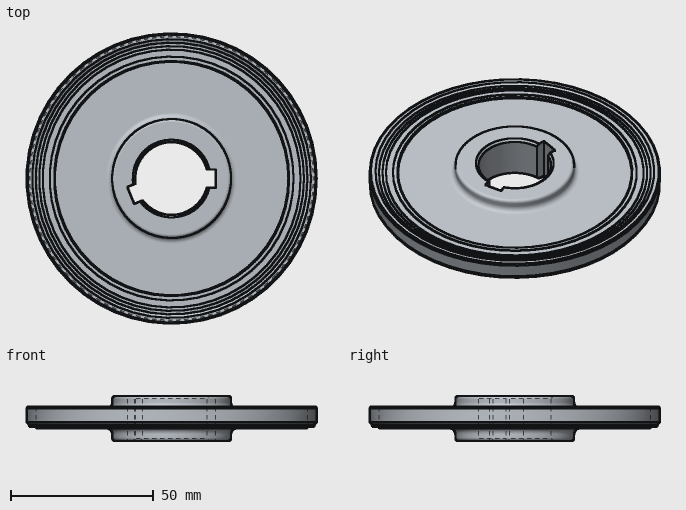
import cadquery as cq

HUB_RADIUS = 20.8
HUB_HALF_HEIGHT = 7.9
HUB_EDGE_FILLET = 1.1
HUB_ROOT_FILLET = 2.0

BORE_RADIUS = 12.7
BORE_CHAMFER = 0.9
KEYWAY_WIDTH = 6.3
KEYWAY_REACH = 15.4
KEYWAY_ANGLES = (0, 202.5)

WEB_HALF_THICKNESS = 3.5
WEB_RADIUS = 40.9
BAND_HEIGHT = 3.6
GROOVE_DEPTH = 0.1
LIP_HEIGHT = 3.8
LIP_INNER_RADIUS = 41.2
LIP_OUTER_RADIUS = 42.7
GROOVE_INNER_RADIUS = 45.1
GROOVE_OUTER_RADIUS = 46.3
DISC_RADIUS = 47.6
DISC_LOWER_CHAMFER = 0.3

RIM_RADIUS = 50.8
RIM_TOP = 4.2
RIM_BOTTOM = -2.9
RIM_TOP_INNER_RADIUS = 48.8
RIM_TOP_CHAMFER_WIDTH = 0.4
RIM_TOP_CHAMFER_HEIGHT = 0.6
RIM_WALL_BOTTOM = -1.2
RIM_SHOULDER_TOP = -2.1
RIM_SHOULDER_RADIUS = 50.0
RIM_SHOULDER_CHAMFER = 0.4


def make_hub_disc():
    """Hub, web and stepped band turned as one solid, then cut by the keyways."""
    hub_top_radius = HUB_RADIUS - HUB_EDGE_FILLET
    hub_side_top = HUB_HALF_HEIGHT - HUB_EDGE_FILLET
    root_radius = HUB_RADIUS + HUB_ROOT_FILLET
    root_height = WEB_HALF_THICKNESS + HUB_ROOT_FILLET
    chamfer_height = HUB_HALF_HEIGHT - BORE_CHAMFER
    mouth_radius = BORE_RADIUS + BORE_CHAMFER
    disc = (
        cq.Workplane("XZ")
        .moveTo(BORE_RADIUS, -chamfer_height)
        .lineTo(BORE_RADIUS, chamfer_height)
        .lineTo(mouth_radius, HUB_HALF_HEIGHT)
        .lineTo(hub_top_radius, HUB_HALF_HEIGHT)
        .radiusArc((HUB_RADIUS, hub_side_top), HUB_EDGE_FILLET)
        .lineTo(HUB_RADIUS, root_height)
        .radiusArc((root_radius, WEB_HALF_THICKNESS), -HUB_ROOT_FILLET)
        .lineTo(WEB_RADIUS, WEB_HALF_THICKNESS)
        .lineTo(LIP_INNER_RADIUS, LIP_HEIGHT)
        .lineTo(LIP_OUTER_RADIUS, LIP_HEIGHT)
        .lineTo(LIP_OUTER_RADIUS, BAND_HEIGHT)
        .lineTo(GROOVE_INNER_RADIUS, BAND_HEIGHT)
        .lineTo(GROOVE_INNER_RADIUS, BAND_HEIGHT - GROOVE_DEPTH)
        .lineTo(GROOVE_OUTER_RADIUS, BAND_HEIGHT - GROOVE_DEPTH)
        .lineTo(GROOVE_OUTER_RADIUS, BAND_HEIGHT)
        .lineTo(DISC_RADIUS, BAND_HEIGHT)
        .lineTo(DISC_RADIUS, DISC_LOWER_CHAMFER - WEB_HALF_THICKNESS)
        .lineTo(DISC_RADIUS - DISC_LOWER_CHAMFER, -WEB_HALF_THICKNESS)
        .lineTo(root_radius, -WEB_HALF_THICKNESS)
        .radiusArc((HUB_RADIUS, -root_height), -HUB_ROOT_FILLET)
        .lineTo(HUB_RADIUS, -hub_side_top)
        .radiusArc((hub_top_radius, -HUB_HALF_HEIGHT), HUB_EDGE_FILLET)
        .lineTo(mouth_radius, -HUB_HALF_HEIGHT)
        .close()
        .revolve(360, (0, 0, 0), (0, 1, 0))
    )
    for angle in KEYWAY_ANGLES:
        disc = disc.cut(make_keyway(angle))
    return disc


def make_keyway(angle):
    """Through slot running from the axis out to the keyway floor."""
    return (
        cq.Workplane("XY")
        .box(KEYWAY_REACH, KEYWAY_WIDTH, 2 * HUB_HALF_HEIGHT, centered=(False, True, True))
        .rotate((0, 0, 0), (0, 0, 1), angle)
    )


def make_rim():
    """Ring around the disc, with a bevelled mouth above and a shoulder below."""
    return (
        cq.Workplane("XZ")
        .moveTo(DISC_RADIUS, RIM_BOTTOM)
        .lineTo(DISC_RADIUS, BAND_HEIGHT)
        .lineTo(RIM_TOP_INNER_RADIUS, RIM_TOP)
        .lineTo(RIM_RADIUS - RIM_TOP_CHAMFER_WIDTH, RIM_TOP)
        .lineTo(RIM_RADIUS, RIM_TOP - RIM_TOP_CHAMFER_HEIGHT)
        .lineTo(RIM_RADIUS, RIM_WALL_BOTTOM)
        .lineTo(RIM_SHOULDER_RADIUS, RIM_SHOULDER_TOP)
        .lineTo(RIM_SHOULDER_RADIUS, RIM_BOTTOM + RIM_SHOULDER_CHAMFER)
        .lineTo(RIM_SHOULDER_RADIUS - RIM_SHOULDER_CHAMFER, RIM_BOTTOM)
        .close()
        .revolve(360, (0, 0, 0), (0, 1, 0))
    )


hub_disc = make_hub_disc()
rim = make_rim()
result = cq.Compound.makeCompound([hub_disc.val(), rim.val()])